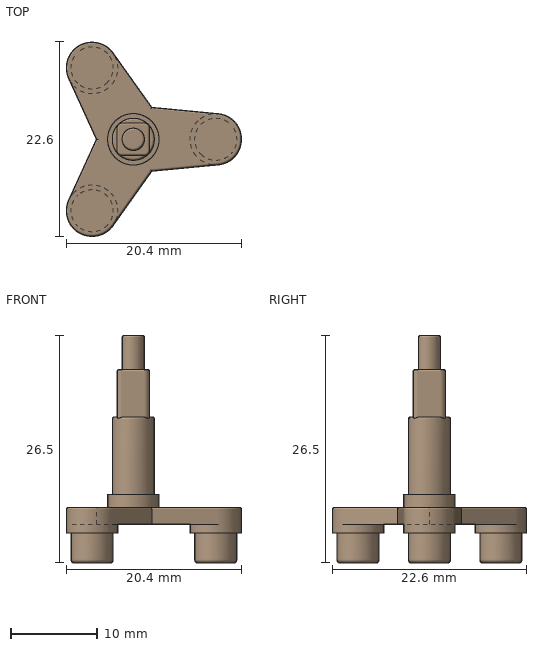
import cadquery as cq
import math

ARM_COUNT = 3
ARM_REACH = 9.6
NOTCH_RADIUS = 4.3
PLATE_THICKNESS = 2.0
BOSS_DIAMETER = 6.0
BOSS_HEIGHT = 3.0
FOOT_DIAMETER = 4.9
FOOT_LENGTH = 3.5
COLLAR_DIAMETER = BOSS_DIAMETER
COLLAR_HEIGHT = 1.5
SHAFT_DIAMETER = FOOT_DIAMETER
SHAFT_LENGTH = 9.0
SQUARE_SIDE = 3.8
SQUARE_CORNER_RADIUS = 0.58
SQUARE_LENGTH = 5.5
PIN_DIAMETER = 2.6
PIN_LENGTH = 3.98
EDGE_RADIUS = 0.25
FOOT_EDGE_RADIUS = 0.4

BOSS_RADIUS = BOSS_DIAMETER / 2
ARM_ANGLES = [i * 360 / ARM_COUNT for i in range(ARM_COUNT)]


def arm_blank():
    """Arm along +X: straight flanks run from the notches tangent to the boss."""
    half_angle = math.pi / ARM_COUNT
    notch_x = NOTCH_RADIUS * math.cos(half_angle)
    notch_y = NOTCH_RADIUS * math.sin(half_angle)
    span = ARM_REACH - notch_x
    tangent_angle = math.atan2(notch_y, -span) - math.acos(BOSS_RADIUS / math.hypot(span, notch_y))
    tangent_x = ARM_REACH + BOSS_RADIUS * math.cos(tangent_angle)
    tangent_y = BOSS_RADIUS * math.sin(tangent_angle)
    return (
        cq.Workplane("XY")
        .moveTo(0, 0)
        .lineTo(notch_x, -notch_y)
        .lineTo(tangent_x, -tangent_y)
        .threePointArc((ARM_REACH + BOSS_RADIUS, 0), (tangent_x, tangent_y))
        .lineTo(notch_x, notch_y)
        .close()
        .extrude(-PLATE_THICKNESS)
    )


def boss():
    """Round boss at the arm end, flush with the plate top."""
    return cq.Workplane("XY").center(ARM_REACH, 0).circle(BOSS_RADIUS).extrude(-BOSS_HEIGHT)


def foot():
    """Cylindrical foot below the boss with a rounded lower rim."""
    return (
        cq.Workplane("XY", origin=(ARM_REACH, 0, -BOSS_HEIGHT))
        .circle(FOOT_DIAMETER / 2)
        .extrude(-FOOT_LENGTH)
        .faces("<Z").edges().fillet(FOOT_EDGE_RADIUS)
    )


def around_stem(shape):
    """Union of one copy of the shape for each arm."""
    copies = cq.Workplane("XY")
    for angle in ARM_ANGLES:
        copies = copies.union(shape.rotate((0, 0, 0), (0, 0, 1), angle))
    return copies


def stem_cylinder(diameter, base, length):
    """Cylinder on the stem axis, starting at height base."""
    return cq.Workplane("XY", origin=(0, 0, base)).circle(diameter / 2).extrude(length)


def stem():
    """Collar, round shaft, square drive and end pin stacked on the plate."""
    shaft_top = COLLAR_HEIGHT + SHAFT_LENGTH
    square_top = shaft_top + SQUARE_LENGTH
    square_base = shaft_top - EDGE_RADIUS
    square_height = square_top - square_base

    collar = stem_cylinder(COLLAR_DIAMETER, 0, COLLAR_HEIGHT)
    shaft = stem_cylinder(SHAFT_DIAMETER, COLLAR_HEIGHT, SHAFT_LENGTH)
    shaft = shaft.faces(">Z").edges().fillet(EDGE_RADIUS)
    square = (
        cq.Workplane("XY", origin=(0, 0, square_base))
        .rect(SQUARE_SIDE, SQUARE_SIDE)
        .extrude(square_height)
        .edges("|Z").fillet(SQUARE_CORNER_RADIUS)
        .faces(">Z").edges().fillet(EDGE_RADIUS)
    )
    pin = stem_cylinder(PIN_DIAMETER, square_top, PIN_LENGTH).faces(">Z").edges().fillet(EDGE_RADIUS)
    return collar.union(shaft).union(square).union(pin)


spider = around_stem(arm_blank().union(boss())).clean()
spider = spider.faces(">Z").edges().fillet(EDGE_RADIUS)
result = spider.union(around_stem(foot())).union(stem())